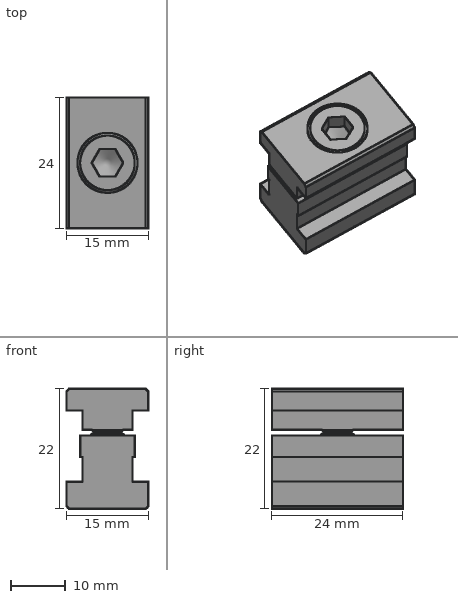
import cadquery as cq
import math

length = 24.0
width = 15.0
height = 22.0
edge_chamfer = 0.5

stem_width = 9.17
pad_width = 10.0
base_top = 5.0
pad_bottom = 9.5
pad_top = 13.5
gap = 1.0
upper_bottom = pad_top + gap
flange_bottom = 18.0

head_diameter = 11.0
head_chamfer = 0.5
neck_top_diameter = 5.8
neck_waist_diameter = 4.8
neck_bottom_diameter = 6.0
neck_collar_height = 0.12
neck_lower_cone_height = 0.34
neck_waist_height = 0.15
socket_flats = 5.0
socket_depth = 3.0
socket_tip_angle = 120.0


def half_profile_prism(points):
    """Extrude a mirrored XZ half-profile along the full length."""
    mirrored = [(-x, z) for x, z in reversed(points)]
    return (
        cq.Workplane("XZ")
        .polyline(points + mirrored)
        .close()
        .extrude(length / 2, both=True)
    )


def lower_jaw():
    return half_profile_prism([
        (width / 2 - edge_chamfer, 0),
        (width / 2, edge_chamfer),
        (width / 2, base_top),
        (stem_width / 2, base_top),
        (stem_width / 2, pad_bottom),
        (pad_width / 2, pad_bottom),
        (pad_width / 2, pad_top),
    ])


def upper_jaw():
    return half_profile_prism([
        (stem_width / 2, upper_bottom),
        (stem_width / 2, flange_bottom),
        (width / 2, flange_bottom),
        (width / 2, height - edge_chamfer),
        (width / 2 - edge_chamfer, height),
    ])


def screw_neck():
    """Waisted round neck that joins the two jaws across the gap."""
    collar_top = pad_top + neck_collar_height
    waist_bottom = collar_top + neck_lower_cone_height
    waist_top = waist_bottom + neck_waist_height
    return (
        cq.Workplane("XZ")
        .polyline([
            (0, pad_top),
            (neck_bottom_diameter / 2, pad_top),
            (neck_bottom_diameter / 2, collar_top),
            (neck_waist_diameter / 2, waist_bottom),
            (neck_waist_diameter / 2, waist_top),
            (neck_top_diameter / 2, upper_bottom),
            (0, upper_bottom),
        ])
        .close()
        .revolve(360, (0, 0, 0), (0, 1, 0))
    )


def head_groove():
    """Ring left between the counterbore wall and the chamfered screw head."""
    head_radius = head_diameter / 2
    return (
        cq.Workplane("XZ")
        .polyline([
            (head_radius - head_chamfer, height),
            (head_radius, height),
            (head_radius, height - head_chamfer),
        ])
        .close()
        .revolve(360, (0, 0, 0), (0, 1, 0))
    )


def hex_socket():
    """Hexagonal socket whose floor sinks to a drill point."""
    corner_diameter = socket_flats / math.cos(math.pi / 6)
    corner_radius = corner_diameter / 2
    tip_depth = corner_radius / math.tan(math.radians(socket_tip_angle / 2))
    floor = height - socket_depth
    hexagon = (
        cq.Workplane("XY")
        .workplane(offset=floor - tip_depth)
        .polygon(6, corner_diameter)
        .extrude(socket_depth + tip_depth)
    )
    drill = (
        cq.Workplane("XZ")
        .polyline([
            (0, floor - tip_depth),
            (corner_radius, floor),
            (corner_radius, height),
            (0, height),
        ])
        .close()
        .revolve(360, (0, 0, 0), (0, 1, 0))
    )
    return hexagon.intersect(drill)


body = lower_jaw().union(upper_jaw()).union(screw_neck())
result = body.cut(head_groove()).cut(hex_socket())